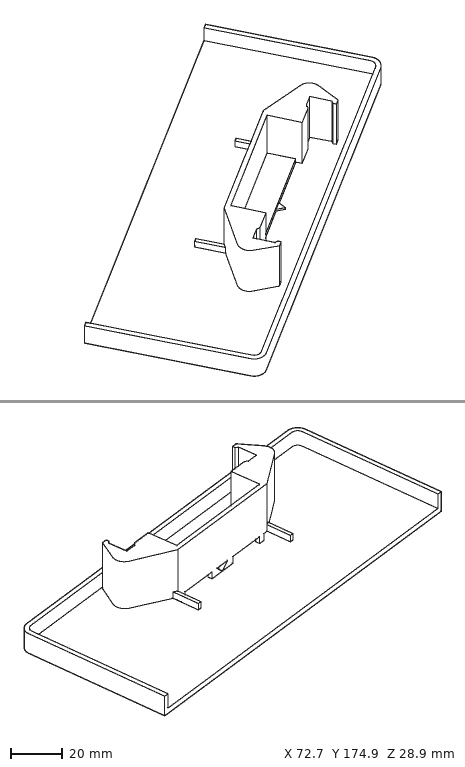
import cadquery as cq
import math

TRAY_LENGTH_X = 72.67
TRAY_WIDTH_Y = 174.93
TRAY_HEIGHT = 9.5
FLOOR_THICKNESS = 2.6
RIM_THICKNESS = 2.1
TRAY_CORNER_RADIUS = 5.0
DRAFT_ANGLE = 1.0

TOTAL_HEIGHT = 28.89
FOOT_HEIGHT = 3.3
CLIP_BOTTOM = FLOOR_THICKNESS + FOOT_HEIGHT

WALL_X = 40.2
WALL_THICKNESS = 2.1
WALL_HALF_WIDTH = 28.2
POCKET_HALF_WIDTH = 26.2
JAW_FACE_X = 56.6
JAW_HALF_WIDTH = 34.7
RELIEF_DEPTH = 1.1
RELIEF_START_Y = 36.0
HOOK_INNER_Y = 41.0
HOOK_TIP_X = 66.65
HOOK_TIP_Y = 42.3
HOOK_LIP_HEIGHT = 1.1
HOOK_LIP_LENGTH = 1.3
HOOK_LIP_RAMP = 0.9
FLANK_ANGLE = 60.0
SHOULDER_RADIUS = 5.0

SHELF_EDGE_X = 53.95
SHELF_THICKNESS = 2.1
POINTER_LENGTH = 3.2
POINTER_HALF_WIDTH = 1.9
POINTER_THICKNESS = 1.2

END_FOOT_WIDTH = 2.65
MIDDLE_FOOT_HALF_WIDTH = 6.6

FINGER_START_X = 28.6
FINGER_WIDTH = 1.6
FINGER_HEIGHT = 3.1
FINGER_CENTRE_Y = 29.1

SIDES = (1, -1)
OVERLAP = 1.0


def spanning_box(x_range, y_range, z_range):
    """Axis-aligned box between the given limits."""
    (x0, x1), (y0, y1), (z0, z1) = x_range, y_range, z_range
    return cq.Workplane("XY").box(x1 - x0, y1 - y0, z1 - z0, centered=False).translate((x0, y0, z0))


def make_tray():
    """Shallow tray with a flat floor and a rim on three sides."""
    outer = (
        cq.Workplane("XY")
        .box(TRAY_LENGTH_X, TRAY_WIDTH_Y, TRAY_HEIGHT, centered=(False, True, False))
        .edges("|Z and >X")
        .fillet(TRAY_CORNER_RADIUS)
    )
    cavity_length = TRAY_LENGTH_X - RIM_THICKNESS + TRAY_CORNER_RADIUS
    cavity_outline = (
        cq.Sketch()
        .rect(cavity_length, TRAY_WIDTH_Y - 2 * RIM_THICKNESS)
        .vertices()
        .fillet(TRAY_CORNER_RADIUS - RIM_THICKNESS)
    )
    cavity = (
        cq.Workplane("XY", origin=(cavity_length / 2 - TRAY_CORNER_RADIUS, 0, TRAY_HEIGHT))
        .placeSketch(cavity_outline)
        .extrude(FLOOR_THICKNESS - TRAY_HEIGHT, taper=DRAFT_ANGLE)
    )
    return outer.cut(cavity)


def drafted_slab(bottom_at_wall, top_at_wall, bottom_draft):
    """Slab wider than the clip; it thins towards +X, from the given heights at the wall."""
    length = HOOK_TIP_X + OVERLAP - WALL_X
    top_drop = length * math.tan(math.radians(DRAFT_ANGLE))
    bottom_rise = length * math.tan(math.radians(bottom_draft))
    return (
        cq.Workplane("XZ")
        .moveTo(WALL_X, bottom_at_wall)
        .lineTo(WALL_X + length, bottom_at_wall + bottom_rise)
        .lineTo(WALL_X + length, top_at_wall - top_drop)
        .lineTo(WALL_X, top_at_wall)
        .close()
        .extrude(TRAY_WIDTH_Y / 2, both=True)
    )


def shoulder_corner():
    """Sharp corner where the flank meets the hook's outer face at a right angle."""
    angle = math.radians(FLANK_ANGLE)
    flank_length = (HOOK_TIP_X - WALL_X) * math.cos(angle) + (HOOK_TIP_Y - WALL_HALF_WIDTH) * math.sin(angle)
    return WALL_X + flank_length * math.cos(angle), WALL_HALF_WIDTH + flank_length * math.sin(angle)


def make_clip_half():
    """The +Y half of the clip body: half of the wall, one jaw and its hook."""
    pocket_x = WALL_X + WALL_THICKNESS
    relief_x = JAW_FACE_X - RELIEF_DEPTH
    lip_x = HOOK_TIP_X - HOOK_LIP_LENGTH
    lip_y = HOOK_INNER_Y - HOOK_LIP_HEIGHT
    corner = shoulder_corner()
    outline = [
        (WALL_X, 0),
        (WALL_X, WALL_HALF_WIDTH),
        corner,
        (HOOK_TIP_X, HOOK_TIP_Y),
        (HOOK_TIP_X, lip_y),
        (lip_x, lip_y),
        (lip_x - HOOK_LIP_RAMP, HOOK_INNER_Y),
        (relief_x, HOOK_INNER_Y),
        (relief_x, RELIEF_START_Y),
        (JAW_FACE_X, JAW_HALF_WIDTH),
        (JAW_FACE_X, POCKET_HALF_WIDTH),
        (pocket_x, POCKET_HALF_WIDTH),
        (pocket_x, 0),
    ]
    prism = cq.Workplane("XY").polyline(outline).close().extrude(TOTAL_HEIGHT)
    prism = prism.edges(cq.selectors.NearestToPointSelector((*corner, TOTAL_HEIGHT / 2)))
    prism = prism.fillet(SHOULDER_RADIUS)
    return prism.intersect(drafted_slab(CLIP_BOTTOM, TOTAL_HEIGHT, DRAFT_ANGLE))


def make_shelf():
    """Flat shelf closing the bottom of the pocket between the jaws."""
    return spanning_box(
        (WALL_X, SHELF_EDGE_X),
        (-POCKET_HALF_WIDTH, POCKET_HALF_WIDTH),
        (CLIP_BOTTOM, CLIP_BOTTOM + SHELF_THICKNESS),
    )


def make_pointer():
    """Triangular tab on the shelf edge, thinner than the shelf."""
    tab = (
        cq.Workplane("XY")
        .moveTo(SHELF_EDGE_X, POINTER_HALF_WIDTH)
        .lineTo(SHELF_EDGE_X + POINTER_LENGTH, 0)
        .lineTo(SHELF_EDGE_X, -POINTER_HALF_WIDTH)
        .close()
        .extrude(TOTAL_HEIGHT)
    )
    return tab.intersect(drafted_slab(CLIP_BOTTOM, CLIP_BOTTOM + POINTER_THICKNESS, 0))


def make_foot(y_start, y_end):
    """Foot in line with the wall, standing on the tray floor."""
    return spanning_box(
        (WALL_X, WALL_X + WALL_THICKNESS),
        (y_start, y_end),
        (FLOOR_THICKNESS, CLIP_BOTTOM + OVERLAP),
    )


def make_notch():
    """V-shaped opening through the middle foot, its 45 degree sides meeting at the floor."""
    return (
        cq.Workplane("YZ", origin=(WALL_X - OVERLAP, 0, 0))
        .moveTo(0, FLOOR_THICKNESS)
        .lineTo(FOOT_HEIGHT, CLIP_BOTTOM)
        .lineTo(-FOOT_HEIGHT, CLIP_BOTTOM)
        .close()
        .extrude(WALL_THICKNESS + 2 * OVERLAP)
    )


def make_finger(side):
    """Thin bar from the wall's end towards -X, its underside level with the wall's."""
    centre_y = side * FINGER_CENTRE_Y
    return spanning_box(
        (FINGER_START_X, WALL_X + WALL_THICKNESS),
        (centre_y - FINGER_WIDTH / 2, centre_y + FINGER_WIDTH / 2),
        (CLIP_BOTTOM, CLIP_BOTTOM + FINGER_HEIGHT),
    )


def make_clip():
    """Rail clip with two hooked jaws, standing on its feet in the tray."""
    half = make_clip_half()
    clip = half.union(half.mirror("XZ")).union(make_shelf()).union(make_pointer())
    for side in SIDES:
        foot_limits = sorted((side * POCKET_HALF_WIDTH, side * (POCKET_HALF_WIDTH - END_FOOT_WIDTH)))
        clip = clip.union(make_foot(*foot_limits)).union(make_finger(side))
    clip = clip.union(make_foot(-MIDDLE_FOOT_HALF_WIDTH, MIDDLE_FOOT_HALF_WIDTH))
    return clip.cut(make_notch())


tray = make_tray()
clip = make_clip()
result = cq.Compound.makeCompound([tray.solids().val(), clip.solids().val()])